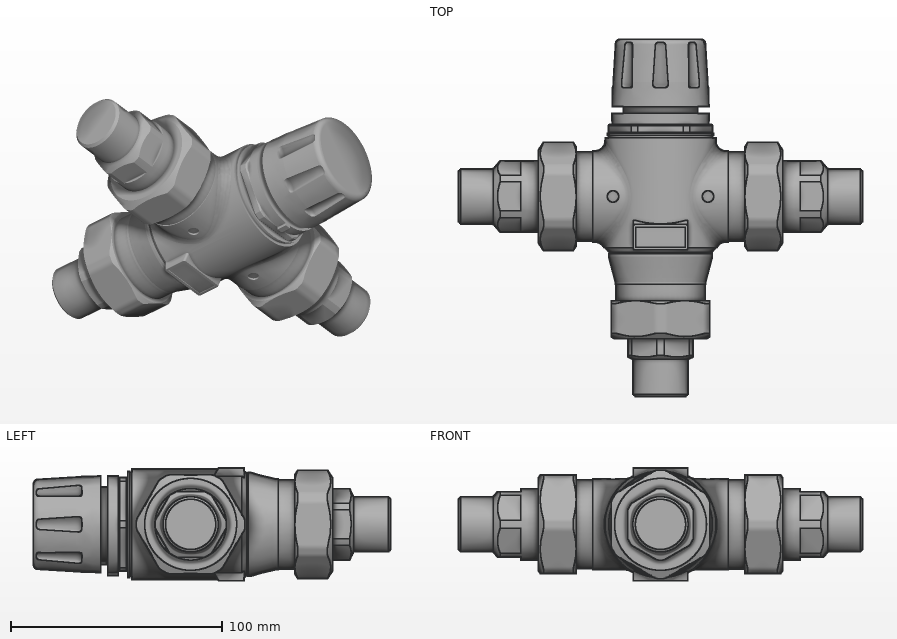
import cadquery as cq
import math


TOTAL_WIDTH = 191.4
TOTAL_LENGTH = 169.32

BODY_RADIUS = 26.3
BODY_TOP = 27.8
BODY_BOTTOM = -26.5
BODY_RIM_START = -24.2
BODY_RIM_RADIUS = 24.2
RIM_CUT_MARGIN = 1.5
BRANCH_RADIUS = 21.6
BRANCH_END = 32.1
NECK_RADIUS = 21.2
JUNCTION_FILLET = 4.5
DIMPLE_RADIUS = 2.7
DIMPLE_OFFSET = 22.5
DIMPLE_DEPTH = 1.0

TAPER_COLLAR_RADIUS = 24.6
TAPER_COLLAR_START = -27.2
TAPER_START = -28.4
TAPER_END_RADIUS = 21.9
TAPER_END = -38.7
OUTLET_LAND_RADIUS = 21.5
OUTLET_LAND_START = -40.4
OUTLET_LAND_END = -41.5

PLATE_WIDTH = 26.0
PLATE_Y_MIN = -25.3
PLATE_Y_MAX = -13.2
PLATE_HEIGHT = 26.75
PLATE_BASE = 21.0
PLATE_CORNER_FILLET = 1.0
PLATE_REAR_SLOPE = 30.0
PLATE_BORDER = 1.3
PLATE_RECESS = 0.4

SHOULDER_RADIUS = 25.2
SHOULDER_TOP = 29.9
SHOULDER_GROOVE_RADIUS = 24.7
SHOULDER_GROOVE_TOP = 28.9
COLLAR_RADIUS = 24.7
COLLAR_HALF_FLATS = 22.2
COLLAR_TOP = 34.2
COLLAR_CHAMFER = 0.6
RING_RADIUS = 23.0
RING_TOP = 39.3
RING_TAB_REACH = 24.3
POINTER_WIDTH = 3.0
STEM_RADIUS = 17.7
STEM_TAB_REACH = 19.1
STEM_TAB_BOTTOM = 39.9
KNOB_BOTTOM = 42.5
KNOB_RADIUS = 23.0
KNOB_TAPER_START = 54.3
KNOB_TAPER_RADIUS = 22.7
KNOB_TOP_RADIUS = 21.3
KNOB_TOP = 74.55
KNOB_EDGE_FILLET = 2.7
GROOVE_COUNT = 8
GROOVE_WIDE_RADIUS = 3.9
GROOVE_NARROW_RADIUS = 2.5
GROOVE_BOTTOM = 51.6
GROOVE_TOP = 73.2
GROOVE_END_FILLET = 1.6
GROOVE_AXIS_LIFT = 0.9

NUT_HALF_FLATS = 23.4
NUT_TIP_RADIUS = 25.7
NUT_ENVELOPE_RADIUS = 26.0
NUT_TIP_FILLET = 4.5
NUT_LENGTH = 18.1
NUT_OUTER_RADIUS = 21.8
NUT_OUTER_CHAMFER = 2.8
NUT_INNER_RADIUS = 23.3
NUT_INNER_CHAMFER = 1.6
HEX_HALF_STEP = 30
TAIL_HEX_RADIUS = 16.95
TAIL_HALF_FLATS = 15.5
TAIL_RADIUS = 13.1
TAIL_CHAMFER = 1.2

SIDE_NUT_START = 39.9
SIDE_SLEEVE_END = 66.1
SIDE_HEX_END = 75.9
SIDE_CONE_END = 79.3
SIDE_END = TOTAL_WIDTH / 2

OUTLET_NUT_START = 49.3
OUTLET_HEX_END = 75.3
OUTLET_CONE_END = 77.2
OUTLET_END = TOTAL_LENGTH - KNOB_TOP


def disc(radius, start, end):
    """Cylinder about Z between two heights."""
    return cq.Workplane("XY").workplane(offset=start).circle(radius).extrude(end - start)


def revolved(profile):
    """Solid about Z from (radius, height) points; the profile closes along the axis."""
    points = [(0, profile[0][1])] + profile + [(0, profile[-1][1])]
    return cq.Workplane("XZ").polyline(points).close().revolve(360, (0, 0, 0), (0, 1, 0))


def hexagon(half_flats, start, end):
    """Hexagonal prism about Z with two flats facing +X and -X."""
    prism = cq.Workplane("XY").workplane(offset=start)
    prism = prism.polygon(6, 2 * half_flats / math.cos(math.pi / 6)).extrude(end - start)
    return prism.rotate((0, 0, 0), (0, 0, 1), HEX_HALF_STEP)


def to_outlet(shape):
    """Turn a shape built outward along +Z so that it points along -Y."""
    return shape.rotate((0, 0, 0), (1, 0, 0), 90)


def to_knob(shape):
    """Turn a shape built outward along +Z so that it points along +Y."""
    return shape.rotate((0, 0, 0), (1, 0, 0), -90)


def to_side(shape, direction):
    """Turn a shape built outward along +Z so that it points along +X or -X."""
    return shape.rotate((0, 0, 0), (0, 1, 0), 90 * direction)


def union_nut(start):
    end = start + NUT_LENGTH
    prism = hexagon(NUT_HALF_FLATS, start, end)
    tips = hexagon(NUT_TIP_RADIUS, start, end).rotate((0, 0, 0), (0, 0, 1), HEX_HALF_STEP)
    prism = prism.intersect(tips).edges("|Z").fillet(NUT_TIP_FILLET)
    envelope = revolved([
        (NUT_INNER_RADIUS, start),
        (NUT_ENVELOPE_RADIUS, start + NUT_INNER_CHAMFER),
        (NUT_ENVELOPE_RADIUS, end - NUT_OUTER_CHAMFER),
        (NUT_OUTER_RADIUS, end),
    ])
    return prism.intersect(envelope)


def tail_tube(start, end):
    return revolved([
        (TAIL_RADIUS, start),
        (TAIL_RADIUS, end - TAIL_CHAMFER),
        (TAIL_RADIUS - TAIL_CHAMFER, end),
    ])


def side_fitting():
    """Neck, union nut and tail piece of one inlet."""
    neck = disc(NECK_RADIUS, 0, SIDE_NUT_START + NUT_LENGTH / 2)
    sleeve = disc(TAIL_HEX_RADIUS, SIDE_NUT_START, SIDE_SLEEVE_END)
    wrench_end = revolved([
        (TAIL_HEX_RADIUS, SIDE_SLEEVE_END),
        (TAIL_HEX_RADIUS, SIDE_HEX_END),
        (TAIL_RADIUS, SIDE_CONE_END),
    ]).intersect(hexagon(TAIL_HALF_FLATS, SIDE_SLEEVE_END, SIDE_CONE_END))
    tube = tail_tube(SIDE_SLEEVE_END, SIDE_END)
    return neck.union(union_nut(SIDE_NUT_START)).union(sleeve).union(wrench_end).union(tube)


def outlet_fitting():
    """Tapered outlet, union nut and tail piece below the body."""
    taper = revolved([
        (BODY_RIM_RADIUS, 0),
        (BODY_RIM_RADIUS, -BODY_BOTTOM),
        (TAPER_COLLAR_RADIUS, -TAPER_COLLAR_START),
        (TAPER_COLLAR_RADIUS, -TAPER_START),
        (TAPER_END_RADIUS, -TAPER_END),
        (OUTLET_LAND_RADIUS, -OUTLET_LAND_START),
        (OUTLET_LAND_RADIUS, -OUTLET_LAND_END),
        (NECK_RADIUS, -OUTLET_LAND_END),
        (NECK_RADIUS, OUTLET_NUT_START + NUT_LENGTH / 2),
    ])
    wrench_end = revolved([
        (TAIL_HEX_RADIUS, OUTLET_NUT_START),
        (TAIL_HEX_RADIUS, OUTLET_HEX_END),
        (TAIL_RADIUS, OUTLET_CONE_END),
    ]).intersect(hexagon(TAIL_HALF_FLATS, OUTLET_NUT_START, OUTLET_CONE_END))
    tube = tail_tube(OUTLET_NUT_START, OUTLET_END)
    return taper.union(union_nut(OUTLET_NUT_START)).union(wrench_end).union(tube)


def knob_groove():
    """Finger groove at the +X side of the knob, widening toward its lower end, with rounded ends."""
    cone = revolved([
        (GROOVE_WIDE_RADIUS, GROOVE_BOTTOM),
        (GROOVE_NARROW_RADIUS, GROOVE_TOP),
    ])
    groove = cone.faces("<Z or >Z").edges().fillet(GROOVE_END_FILLET)
    tilt = math.degrees(math.atan((KNOB_TAPER_RADIUS - KNOB_TOP_RADIUS) / (KNOB_TOP - KNOB_TAPER_START)))
    groove = groove.rotate((0, 0, GROOVE_BOTTOM), (0, 1, GROOVE_BOTTOM), -tilt)
    return groove.translate((KNOB_TAPER_RADIUS + GROOVE_AXIS_LIFT, 0, 0))


def pointer_tab(reach, start, end):
    """Narrow radial tab that ends up on the -Z side of the main axis."""
    tab = cq.Workplane("XY").workplane(offset=start).center(0, reach / 2)
    return tab.rect(POINTER_WIDTH, reach).extrude(end - start)


def knob_assembly():
    """Shoulder, hexagonal collar, setting ring, stem and grooved knob."""
    shoulder = disc(SHOULDER_RADIUS, SHOULDER_GROOVE_TOP, SHOULDER_TOP)
    shoulder = shoulder.union(disc(SHOULDER_GROOVE_RADIUS, 0, SHOULDER_TOP))
    collar = disc(COLLAR_RADIUS, SHOULDER_TOP, COLLAR_TOP)
    flats = hexagon(COLLAR_HALF_FLATS, SHOULDER_TOP, COLLAR_TOP)
    collar = collar.intersect(flats.rotate((0, 0, 0), (0, 0, 1), HEX_HALF_STEP))
    collar = collar.faces("<Z or >Z").edges().chamfer(COLLAR_CHAMFER)
    ring = disc(RING_RADIUS, COLLAR_TOP, RING_TOP)
    ring_tab = pointer_tab(RING_TAB_REACH, COLLAR_TOP, RING_TOP)
    stem = disc(STEM_RADIUS, RING_TOP, KNOB_BOTTOM)
    stem_tab = pointer_tab(STEM_TAB_REACH, STEM_TAB_BOTTOM, KNOB_BOTTOM)
    knob = revolved([
        (KNOB_RADIUS, KNOB_BOTTOM),
        (KNOB_TAPER_RADIUS, KNOB_TAPER_START),
        (KNOB_TOP_RADIUS, KNOB_TOP),
    ]).faces(">Z").edges().fillet(KNOB_EDGE_FILLET)
    groove = knob_groove()
    for i in range(GROOVE_COUNT):
        knob = knob.cut(groove.rotate((0, 0, 0), (0, 0, 1), 360 / GROOVE_COUNT * i))
    assembly = shoulder
    for piece in (collar, ring, ring_tab, stem, stem_tab, knob):
        assembly = assembly.union(piece)
    return assembly


def body():
    """Main barrel with the two branch stubs blended into it and a bevelled lower rim."""
    barrel = to_knob(disc(BODY_RADIUS, BODY_BOTTOM, BODY_TOP))
    stubs = to_side(disc(BRANCH_RADIUS, -BRANCH_END, BRANCH_END), 1)
    near_seams = cq.selectors.BoxSelector(
        (-BODY_RADIUS, -BRANCH_RADIUS, -BODY_RADIUS),
        (BODY_RADIUS, BRANCH_RADIUS, BODY_RADIUS))
    blended = barrel.union(stubs).edges(near_seams).fillet(JUNCTION_FILLET)
    rim_outside = BODY_RADIUS + RIM_CUT_MARGIN
    rim = cq.Workplane("XY").polyline([
        (BODY_RADIUS, BODY_RIM_START),
        (rim_outside, BODY_RIM_START),
        (rim_outside, BODY_BOTTOM),
        (BODY_RIM_RADIUS, BODY_BOTTOM),
    ]).close().revolve(360, (0, 0, 0), (0, 1, 0))
    return blended.cut(rim)


def name_plate():
    """Raised plate with a sunken panel on the +Z side of the barrel; its rear wall slopes outward."""
    height = PLATE_HEIGHT - PLATE_BASE
    slope_run = height * math.tan(math.radians(PLATE_REAR_SLOPE))
    plate = cq.Workplane("YZ").polyline([
        (PLATE_Y_MIN, PLATE_BASE),
        (PLATE_Y_MIN, PLATE_HEIGHT),
        (PLATE_Y_MAX, PLATE_HEIGHT),
        (PLATE_Y_MAX + slope_run, PLATE_BASE),
    ]).close().extrude(PLATE_WIDTH / 2, both=True)
    plate = plate.edges("not #Z").fillet(PLATE_CORNER_FILLET)
    length = PLATE_Y_MAX - PLATE_Y_MIN
    panel = cq.Workplane("XY").workplane(offset=PLATE_HEIGHT - PLATE_RECESS)
    panel = panel.center(0, (PLATE_Y_MIN + PLATE_Y_MAX) / 2)
    panel = panel.rect(PLATE_WIDTH - 2 * PLATE_BORDER, length - 2 * PLATE_BORDER).extrude(PLATE_RECESS)
    return plate, panel


def dimples():
    """Shallow round marks on the +Z side of both branches."""
    dimple = disc(DIMPLE_RADIUS, BRANCH_RADIUS - DIMPLE_DEPTH, BODY_RADIUS)
    return dimple.translate((DIMPLE_OFFSET, 0, 0)).union(dimple.translate((-DIMPLE_OFFSET, 0, 0)))


result = body()
result = result.union(to_outlet(outlet_fitting())).union(to_knob(knob_assembly()))
for direction in (-1, 1):
    result = result.union(to_side(side_fitting(), direction))

plate, panel = name_plate()
for turn in (0, 180):
    result = result.union(plate.rotate((0, 0, 0), (0, 1, 0), turn))
    result = result.cut(panel.union(dimples()).rotate((0, 0, 0), (0, 1, 0), turn))